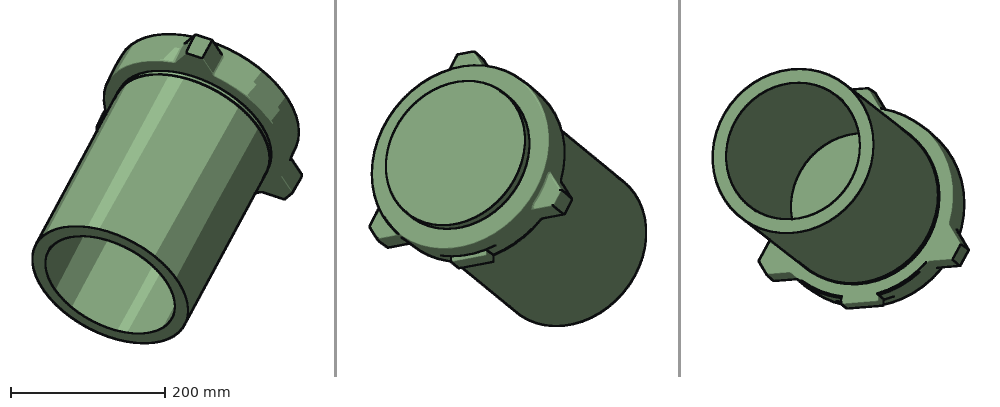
import cadquery as cq
import math

pipe_radius = 109.7
bore_radius = 91.2
pipe_length = 273.3

neck_radius = 109.0
spigot_radius = 100.0
flange_radius = 128.5
flange_front = 280.0
flange_back = 329.5
overall_length = 343.0

parting_y = 304.5
draft_angle = 2.0
front_depth = parting_y - flange_front
back_depth = flange_back - parting_y

lug_count = 3
lug_spacing = 360 / lug_count
lug_tip_radius = 153.5
lug_tip_half_width = 12.0
lug_flank_angle = 30.0
lug_foot_radius = 113.0
lug_back = 314.0

pad_width = 51.5
pad_bottom = 134.5
pad_fillet = 2.0

back_rim_fillet = 2.5
front_rim_fillet = 2.0
lug_edge_fillet = 2.5
lug_root_fillet = 6.2

root_search_depth = 5.0
root_search_angle = 14.0
tip_search_depth = 3.5
tolerance = 0.05


def cylinder(radius, y_start, y_end):
    """Solid cylinder on the Y axis."""
    plane = cq.Workplane("XZ", origin=(0, y_start, 0))
    return plane.circle(radius).extrude(y_start - y_end)


def make_flange():
    """Double-drafted disc with a rounded back rim."""
    slope = math.tan(math.radians(draft_angle))
    disc = (
        cq.Workplane("XY")
        .moveTo(0, flange_front)
        .lineTo(flange_radius - front_depth * slope, flange_front)
        .lineTo(flange_radius, parting_y)
        .lineTo(flange_radius - back_depth * slope, flange_back)
        .lineTo(0, flange_back)
        .close()
        .revolve(360, (0, 0, 0), (0, 1, 0))
    )
    return disc.faces(">Y").edges().fillet(back_rim_fillet)


def drafted_prism(outline, depth):
    """Prism from the parting plane toward -Y, narrowing by the draft angle."""
    profile = cq.Workplane("XZ", origin=(0, parting_y, 0)).polyline(outline).close()
    return profile.extrude(depth, taper=draft_angle)


def make_lug():
    """Upward lug, drafted from the parting plane, with a rounded back edge."""
    spread = (lug_tip_radius - lug_foot_radius) * math.tan(math.radians(lug_flank_angle))
    foot_half_width = lug_tip_half_width + spread
    outline = [
        (-foot_half_width, lug_foot_radius),
        (-lug_tip_half_width, lug_tip_radius),
        (lug_tip_half_width, lug_tip_radius),
        (foot_half_width, lug_foot_radius),
    ]
    front = drafted_prism(outline, front_depth)
    back = drafted_prism(outline, lug_back - parting_y)
    back = back.mirror("XZ", (0, parting_y, 0))
    back = back.faces(">Y").edges("not <Z").fillet(lug_edge_fillet)
    return front.union(back)


def make_pad():
    """Rectangular pad reaching below the flange, rounded on all edges except the buried top ones."""
    pad_height = pad_bottom - neck_radius
    pad = cq.Workplane("XY", origin=(0, flange_front, -pad_bottom))
    pad = pad.box(pad_width, front_depth, pad_height, centered=(True, False, False))
    return pad.edges("not >Z").fillet(pad_fillet)


def is_lug_root(edge):
    """True for the edges where a lug rises out of the flange's outer wall."""
    center = edge.Center()
    radius = math.hypot(center.x, center.z)
    angle_from_top = math.degrees(math.atan2(center.x, center.z))
    angle = math.remainder(angle_from_top, lug_spacing)
    on_wall = abs(radius - flange_radius) < root_search_depth
    return on_wall and abs(angle) < root_search_angle and center.y < lug_back + lug_root_fillet


def is_front_rim(edge):
    """True for the front edges of the flange arcs and the lug flanks, not the lug tips."""
    center = edge.Center()
    on_front = abs(center.y - flange_front) < tolerance
    return on_front and math.hypot(center.x, center.z) < lug_tip_radius - tip_search_depth


nut = make_flange()
lug = make_lug()
for index in range(lug_count):
    nut = nut.union(lug.rotate((0, 0, 0), (0, 1, 0), index * lug_spacing))
nut = nut.edges().filter(is_lug_root).fillet(lug_root_fillet)
nut = nut.edges().filter(is_front_rim).fillet(front_rim_fillet)
nut = nut.union(make_pad())

result = nut.union(cylinder(neck_radius, pipe_length, flange_front))
result = result.union(cylinder(spigot_radius, flange_back, overall_length))
result = result.union(cylinder(pipe_radius, 0, pipe_length))
result = result.cut(cylinder(bore_radius, 0, pipe_length))